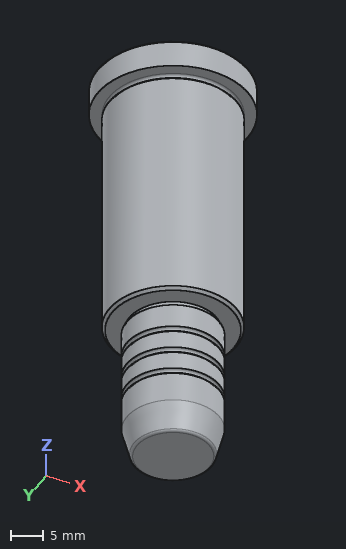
import cadquery as cq
import math

total_length = 70.0
head_diameter = 26.0
head_height = 5.0
body_diameter = 22.0
body_length = 41.0
shank_diameter = 15.95

edge_chamfer = 0.5
tip_fillet = 0.5
groove_radius = 0.5
groove_count = 3
groove_pitch = 4.0
first_groove_drop = 5.5
neck_height = 1.0
neck_diameter = 15.0

taper_length = 5.0
taper_angle = 15.0

head_bottom = total_length - head_height
body_bottom = head_bottom - body_length
shank_radius = shank_diameter / 2
tip_radius = shank_radius - taper_length * math.tan(math.radians(taper_angle))


def cylinder(diameter, bottom, top):
    """Solid cylinder on the Z axis between two heights."""
    return cq.Workplane("XY").workplane(offset=bottom).circle(diameter / 2).extrude(top - bottom)


def relief_groove(diameter, floor_height):
    """Ring that cuts a groove with a quarter-round upper wall and a 45 degree lower wall."""
    radius = diameter / 2
    floor_radius = radius - groove_radius
    return (
        cq.Workplane("XZ")
        .moveTo(radius, floor_height + groove_radius)
        .radiusArc((floor_radius, floor_height), -groove_radius)
        .lineTo(radius, floor_height - groove_radius)
        .close()
        .revolve(360, (0, 0, 0), (0, 1, 0))
    )


head = cylinder(head_diameter, head_bottom, total_length).faces(">Z").chamfer(edge_chamfer)
body = cylinder(body_diameter, body_bottom, head_bottom).faces("<Z").chamfer(edge_chamfer)
body = body.cut(relief_groove(body_diameter, head_bottom - groove_radius))

neck_bottom = body_bottom - neck_height
neck = cylinder(neck_diameter, neck_bottom, body_bottom)
shank = cylinder(shank_diameter, taper_length, neck_bottom)
tip = (
    cq.Workplane("XZ")
    .lineTo(tip_radius, 0)
    .lineTo(shank_radius, taper_length)
    .lineTo(0, taper_length)
    .close()
    .revolve(360, (0, 0, 0), (0, 1, 0))
    .faces("<Z")
    .fillet(tip_fillet)
)

for index in range(groove_count):
    groove_height = body_bottom - first_groove_drop - index * groove_pitch
    shank = shank.cut(relief_groove(shank_diameter, groove_height))

result = head.union(body).union(neck).union(shank).union(tip)